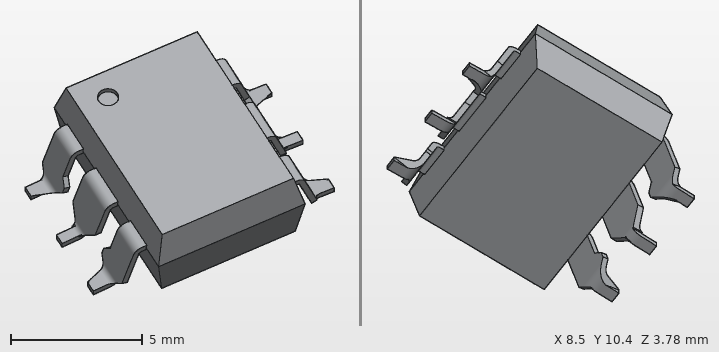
import cadquery as cq
import math

body_length = 8.5
body_width = 6.34
body_bottom = 0.37
parting_height = 2.31
body_top = 3.78
upper_inset = 0.33
lower_inset = 0.28

mark_diameter = 0.8
mark_depth = 0.2
mark_x = -2.78
mark_y = -1.62

toe_reach = 5.2
lead_thickness = 0.25
lead_top = 2.45
lead_root = 2.91
shoulder_reach = 3.63
ankle_reach = 4.34
foot_slope = math.radians(3)
shoulder_radius = 0.16
ankle_radius = 0.25

pin_pitch = 2.54
toe_width = 0.47
center_lead_width = 1.81
center_taper_height = 0.91
outer_lead_width = 1.32
outer_lead_edge = -3.24
outer_taper_height = 0.66
tab_width = 0.31
tab_height = 0.92

toe_top = lead_thickness / math.cos(foot_slope)
ankle_height = toe_top + (toe_reach - ankle_reach) * math.tan(foot_slope)
leg_drop = lead_top - ankle_height
leg_tilt = math.atan2(ankle_reach - shoulder_reach, leg_drop)
leg_heading = leg_tilt - math.pi / 2

ankle_turn = -foot_slope - leg_heading
ankle_tangent = ankle_radius * math.tan(ankle_turn / 2)
foot_start_height = ankle_height - ankle_tangent * math.sin(foot_slope)


def make_half(inset, end_height):
    """Tapered half of the body, from the parting plane to its flat end."""
    return (
        cq.Workplane("XY", origin=(0, 0, parting_height))
        .rect(body_length, body_width)
        .workplane(offset=end_height - parting_height)
        .rect(body_length - 2 * inset, body_width - 2 * inset)
        .loft(ruled=True)
    )


def make_body():
    mark = (
        cq.Workplane("XY", origin=(mark_x, mark_y, body_top - mark_depth))
        .circle(mark_diameter / 2)
        .extrude(mark_depth)
    )
    return make_half(upper_inset, body_top).union(make_half(lower_inset, body_bottom)).cut(mark)


def inner_corner(reach, height, heading_before, heading_after):
    """Corner of the inner face, one thickness behind an outer corner of the strip."""
    half_turn = (heading_after - heading_before) / 2
    bisector = (heading_before + heading_after) / 2 - math.pi / 2
    distance = lead_thickness / math.cos(half_turn)
    return (reach + distance * math.cos(bisector), height + distance * math.sin(bisector))


def make_strip():
    """Bent strip as long as the body, on the -Y side."""
    shoulder = (shoulder_reach, lead_top)
    ankle = (ankle_reach, ankle_height)
    inner_shoulder = inner_corner(*shoulder, 0, leg_heading)
    inner_ankle = inner_corner(*ankle, leg_heading, -foot_slope)
    profile = [
        (lead_root, lead_top),
        shoulder,
        ankle,
        (toe_reach, toe_top),
        (toe_reach, 0),
        inner_ankle,
        inner_shoulder,
        (lead_root, lead_top - lead_thickness),
    ]
    strip = (
        cq.Workplane("YZ")
        .polyline([(-reach, height) for reach, height in profile])
        .close()
        .extrude(body_length / 2, both=True)
    )
    bends = [
        (inner_shoulder, shoulder_radius),
        (shoulder, shoulder_radius + lead_thickness),
        (ankle, ankle_radius),
        (inner_ankle, ankle_radius + lead_thickness),
    ]
    for (reach, height), radius in bends:
        corner = cq.selectors.NearestToPointSelector((0, -reach, height))
        strip = strip.edges("|X").edges(corner).fillet(radius)
    return strip


def along_leg(height):
    """Position along the leg, from the shoulder corner, of a height on its outer face."""
    return (height - lead_top) / math.cos(leg_tilt)


def punch_lead(strip, plane, outline):
    """Lead left when an outline is punched square to a plane."""
    punch = cq.Workplane(plane).polyline(outline).close().extrude(toe_reach, both=True)
    return strip.intersect(punch)


def make_center_lead(strip):
    """Symmetric lead, punched straight along Y, that steps in to the toe width at the foot."""
    half_lead = center_lead_width / 2
    half_toe = toe_width / 2
    half_ankle = half_lead - (center_taper_height - foot_start_height)
    right_side = [
        (half_toe, -lead_thickness),
        (half_toe, foot_start_height),
        (half_ankle, foot_start_height),
        (half_lead, center_taper_height),
        (half_lead, body_top),
    ]
    left_side = [(-x, z) for x, z in reversed(right_side)]
    return punch_lead(strip, "XZ", right_side + left_side)


def make_outer_lead(strip):
    """Lead at the -X end, punched square through the sloping leg.

    A tab sits low on the edge that faces the center lead.
    """
    leg_plane = cq.Plane(
        origin=(0, -shoulder_reach, lead_top),
        xDir=(1, 0, 0),
        normal=(0, -math.cos(leg_tilt), math.sin(leg_tilt)),
    )
    inner_edge = outer_lead_edge + outer_lead_width
    tab_edge = inner_edge + tab_width
    tab_top = along_leg(tab_height)
    toe_left = -pin_pitch - toe_width / 2
    toe_right = -pin_pitch + toe_width / 2
    taper_start = along_leg(outer_taper_height)
    outline_top = body_top
    outline_end = -toe_reach
    outline = [
        (outer_lead_edge, outline_top),
        (outer_lead_edge, taper_start),
        (toe_left, taper_start - (toe_left - outer_lead_edge)),
        (toe_left, outline_end),
        (toe_right, outline_end),
        (toe_right, taper_start - (tab_edge - toe_right)),
        (tab_edge, taper_start),
        (tab_edge, tab_top),
        (inner_edge, tab_top + tab_width),
        (inner_edge, outline_top),
    ]
    return punch_lead(strip, leg_plane, outline)


strip = make_strip()
outer_lead = make_outer_lead(strip)
lead_row = [outer_lead, make_center_lead(strip), outer_lead.mirror("YZ")]

result = make_body()
for lead in lead_row:
    result = result.union(lead).union(lead.mirror("XZ"))